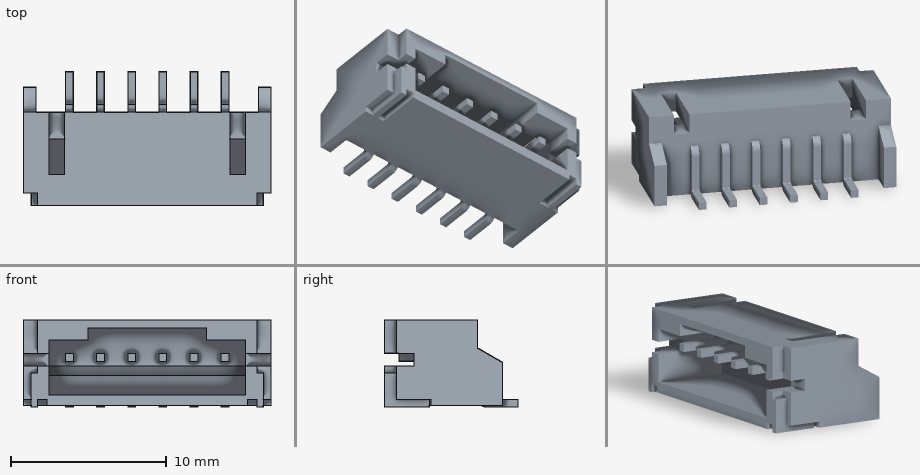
import cadquery as cq
import math

HOUSING_WIDTH = 15.9
HALF_WIDTH = HOUSING_WIDTH / 2
HOUSING_DEPTH = 6.0
HOUSING_BOTTOM = 0.1
HOUSING_TOP = 5.6

POST_WIDTH = 0.82
POST_BACK = 7.6
POST_HIGH = 3.8
POST_LOW = 2.88

CAVITY_HALF_WIDTH = 6.3
CAVITY_FLOOR = 0.8
CAVITY_ROOF = 4.3
CAVITY_DEPTH = 4.28
KEY_HALF_WIDTH = 3.8
KEY_ROOF = 5.1
UNDERCUT_TOP = 2.65
UNDERCUT_BOTTOM = 2.05
UNDERCUT_BACK = CAVITY_DEPTH + (UNDERCUT_TOP - UNDERCUT_BOTTOM)

CORNER_WIDTH = 0.92
CORNER_DEPTH = 0.8
SIDE_SLOT_DEPTH = 1.9
SIDE_SLOT_BOTTOM = 2.65
SIDE_SLOT_TOP = 3.45
BOTTOM_RECESS_WIDTH = 1.5
BOTTOM_RECESS_DEPTH = 3.0
BOTTOM_RECESS_TOP = 0.5

TOP_SLOT_WIDTH = 1.0
TOP_SLOT_FRONT = 2.0

TAB_OFFSET = 0.5
TAB_WIDTH = CORNER_WIDTH - TAB_OFFSET
TAB_TOP = 2.2
TAB_DEPTH = 2.9

PIN_COUNT = 6
PIN_PITCH = 2.0
PIN_SIZE = 0.5
PIN_CENTER_Z = 3.2
PIN_TIP = 0.94
PIN_LEG_BACK = 6.5
PIN_FOOT_END = 8.6
BEND_INNER_RADIUS = 0.1
BEND_OUTER_RADIUS = BEND_INNER_RADIUS + PIN_SIZE


def box(x0, x1, y0, y1, z0, z1):
    """Axis-aligned block between two opposite corners."""
    return cq.Workplane("XY").box(x1 - x0, y1 - y0, z1 - z0, centered=False).translate((x0, y0, z0))


def both_ends(left):
    """The given left-end shape together with its mirror image at the right end."""
    return left.union(left.mirror("YZ"))


def make_shell():
    """Solid housing block with a sloped post behind each end."""
    shell = box(-HALF_WIDTH, HALF_WIDTH, 0, HOUSING_DEPTH, HOUSING_BOTTOM, HOUSING_TOP)
    post = (
        cq.Workplane("YZ")
        .moveTo(HOUSING_DEPTH, HOUSING_BOTTOM)
        .lineTo(POST_BACK, HOUSING_BOTTOM)
        .lineTo(POST_BACK, POST_LOW)
        .lineTo(HOUSING_DEPTH, POST_HIGH)
        .close()
        .extrude(POST_WIDTH)
        .translate((-HALF_WIDTH, 0, 0))
    )
    return shell.union(both_ends(post))


def make_cavity():
    """Cavity with a raised keyway in the roof and an undercut low in its back wall."""
    main = (
        cq.Workplane("YZ")
        .moveTo(0, CAVITY_FLOOR)
        .lineTo(UNDERCUT_BACK, CAVITY_FLOOR)
        .lineTo(UNDERCUT_BACK, UNDERCUT_BOTTOM)
        .lineTo(CAVITY_DEPTH, UNDERCUT_TOP)
        .lineTo(CAVITY_DEPTH, CAVITY_ROOF)
        .lineTo(0, CAVITY_ROOF)
        .close()
        .extrude(CAVITY_HALF_WIDTH, both=True)
    )
    key = box(-KEY_HALF_WIDTH, KEY_HALF_WIDTH, 0, CAVITY_DEPTH, UNDERCUT_TOP, KEY_ROOF)
    return main.union(key)


def make_end_cuts():
    """Front corner notches, side slots, bottom recesses and top slots."""
    corner = box(-HALF_WIDTH, -HALF_WIDTH + CORNER_WIDTH, 0, CORNER_DEPTH, HOUSING_BOTTOM, HOUSING_TOP)
    side_slot = box(-HALF_WIDTH, -CAVITY_HALF_WIDTH, 0, SIDE_SLOT_DEPTH, SIDE_SLOT_BOTTOM, SIDE_SLOT_TOP)
    recess = box(
        -HALF_WIDTH,
        -HALF_WIDTH + BOTTOM_RECESS_WIDTH,
        0,
        BOTTOM_RECESS_DEPTH,
        HOUSING_BOTTOM,
        BOTTOM_RECESS_TOP,
    )
    top_slot = box(
        -CAVITY_HALF_WIDTH,
        -CAVITY_HALF_WIDTH + TOP_SLOT_WIDTH,
        TOP_SLOT_FRONT,
        HOUSING_DEPTH,
        CAVITY_ROOF,
        HOUSING_TOP,
    )
    return both_ends(corner.union(side_slot).union(recess).union(top_slot))


def make_tabs():
    """Solder tabs: an upright in each corner notch and a foot in each bottom recess."""
    inner_x = -HALF_WIDTH + CORNER_WIDTH
    outer_x = inner_x - TAB_WIDTH
    upright = box(outer_x, inner_x, 0, CORNER_DEPTH, 0, TAB_TOP)
    foot = box(outer_x, inner_x, 0, TAB_DEPTH, 0, BOTTOM_RECESS_TOP)
    return both_ends(upright.union(foot))


def make_pin(x):
    """One contact: straight through the back wall, bent down, then bent out to a foot."""
    half = PIN_SIZE / 2
    top = PIN_CENTER_Z + half
    bottom = PIN_CENTER_Z - half
    leg_front = PIN_LEG_BACK - PIN_SIZE
    upper_center = (PIN_LEG_BACK - BEND_OUTER_RADIUS, top - BEND_OUTER_RADIUS)
    lower_center = (PIN_LEG_BACK + BEND_INNER_RADIUS, BEND_OUTER_RADIUS)
    diagonal = math.sqrt(0.5)

    def on_upper(radius):
        return (upper_center[0] + radius * diagonal, upper_center[1] + radius * diagonal)

    def on_lower(radius):
        return (lower_center[0] - radius * diagonal, lower_center[1] - radius * diagonal)

    return (
        cq.Workplane("YZ")
        .moveTo(PIN_TIP, top)
        .lineTo(upper_center[0], top)
        .threePointArc(on_upper(BEND_OUTER_RADIUS), (PIN_LEG_BACK, upper_center[1]))
        .lineTo(PIN_LEG_BACK, lower_center[1])
        .threePointArc(on_lower(BEND_INNER_RADIUS), (lower_center[0], PIN_SIZE))
        .lineTo(PIN_FOOT_END, PIN_SIZE)
        .lineTo(PIN_FOOT_END, 0)
        .lineTo(lower_center[0], 0)
        .threePointArc(on_lower(BEND_OUTER_RADIUS), (leg_front, lower_center[1]))
        .lineTo(leg_front, upper_center[1])
        .threePointArc(on_upper(BEND_INNER_RADIUS), (upper_center[0], bottom))
        .lineTo(PIN_TIP, bottom)
        .close()
        .extrude(half, both=True)
        .translate((x, 0, 0))
    )


result = make_shell().cut(make_cavity()).cut(make_end_cuts()).union(make_tabs())
for index in range(PIN_COUNT):
    pin_x = (index - (PIN_COUNT - 1) / 2) * PIN_PITCH
    result = result.union(make_pin(pin_x))